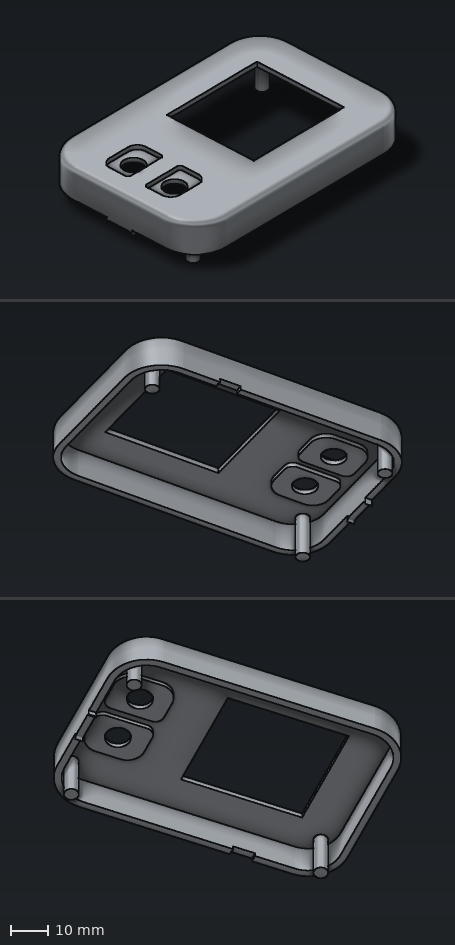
import cadquery as cq

length = 84.7
width = 57.2
shell_height = 10.4
corner_radius = 11.5
edge_radius = 2.1
wall = 2.1
plate = 1.7

window_width = 32.0
window_length = 35.2
window_y = 10.9

pocket_inner_x = 3.0
pocket_width = 10.0
pocket_length = 14.0
pocket_y = -28.7
pocket_depth = 1.5
pocket_wall = 1.5
pocket_outer_radius = 3.4
pocket_inner_radius = 1.0
button_hole_diameter = 7.0
button_hole_x = 7.5

pin_diameter = 4.0
pin_drop = 4.4
pin_x = 21.5
pin_y = 36.3

tab_width = 9.3
tab_drop = 2.0
arch_drop = 0.85
arch_radius = tab_drop - arch_drop

notch_length = 6.4
notch_height = 1.1
notch_y = 16.1


def rounded_block(block_width, block_length, height, radius):
    return cq.Workplane("XY").rect(block_width, block_length).extrude(height).edges("|Z").fillet(radius)


def make_shell():
    outer = rounded_block(width, length, shell_height, corner_radius).faces(">Z").edges().fillet(edge_radius)
    cavity = rounded_block(width - 2 * wall, length - 2 * wall, shell_height - plate, corner_radius - wall)
    return outer.cut(cavity)


def make_window():
    return (
        cq.Workplane("XY")
        .center(0, window_y)
        .rect(window_width, window_length)
        .extrude(shell_height)
    )


def make_pocket_shape(depth, margin):
    """Pocket outline on the +X side, grown by a margin and sunk from the top face."""
    center_x = pocket_inner_x + pocket_width / 2
    return (
        cq.Workplane("XY", origin=(center_x, pocket_y, shell_height - depth))
        .rect(pocket_width + 2 * margin, pocket_length + 2 * margin)
        .extrude(depth)
        .edges("|Z and >X")
        .fillet(pocket_outer_radius + margin)
        .edges("|Z and <X")
        .fillet(pocket_inner_radius + margin)
    )


def make_button_opening():
    """Pocket and through hole of the button on the +X side."""
    hole = (
        cq.Workplane("XY")
        .center(button_hole_x, pocket_y)
        .circle(button_hole_diameter / 2)
        .extrude(shell_height)
    )
    return make_pocket_shape(pocket_depth, 0).union(hole)


def make_pins():
    """Pins hanging from the top plate in every corner except +X +Y."""
    pin_places = [(-pin_x, -pin_y), (pin_x, -pin_y), (-pin_x, pin_y)]
    return (
        cq.Workplane("XY", origin=(0, 0, -pin_drop))
        .pushPoints(pin_places)
        .circle(pin_diameter / 2)
        .extrude(pin_drop + shell_height - plate)
    )


def make_tab():
    half = tab_width / 2
    bend = arch_radius * 0.5 ** 0.5
    return (
        cq.Workplane("XZ", origin=(0, -length / 2 + wall, 0))
        .moveTo(-half, wall)
        .lineTo(-half, -tab_drop)
        .threePointArc(
            (-half + arch_radius - bend, -tab_drop + bend),
            (-half + arch_radius, -arch_drop),
        )
        .lineTo(half - arch_radius, -arch_drop)
        .threePointArc(
            (half - arch_radius + bend, -tab_drop + bend),
            (half, -tab_drop),
        )
        .lineTo(half, wall)
        .close()
        .extrude(wall)
    )


def make_notch():
    return cq.Workplane("XY", origin=(-width / 2, notch_y, 0)).box(
        wall, notch_length, notch_height, centered=(False, True, False)
    )


button_housing = make_pocket_shape(pocket_depth + pocket_wall, pocket_wall)
button_opening = make_button_opening()

result = (
    make_shell()
    .union(make_pins())
    .union(make_tab())
    .union(button_housing)
    .union(button_housing.mirror("YZ"))
    .cut(make_window())
    .cut(button_opening)
    .cut(button_opening.mirror("YZ"))
    .cut(make_notch())
)